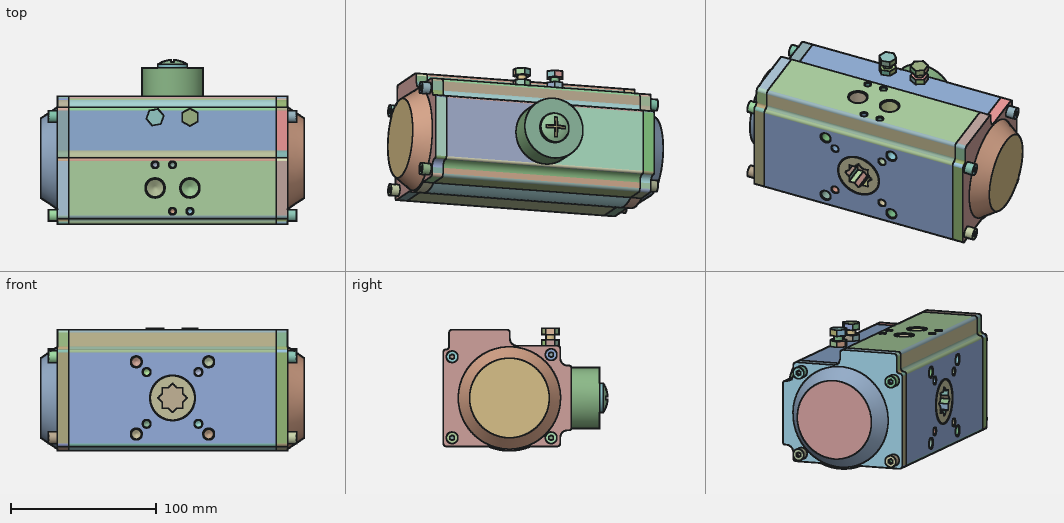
import cadquery as cq
import math


overall_length = 181.0
slab_length = 157.8
housing_length = 142.3
cap_thickness = (slab_length - housing_length) / 2
dome_height = (overall_length - slab_length) / 2

front_y = -45.5
shoulder_depth = 4.0
block_front_y = front_y + shoulder_depth
shoulder_radius = shoulder_depth / 2
shoulder_z = 33.3
block_back_y = 0.4
block_top_z = 46.9
deck_z = 35.8
back_y = 35.0
bottom_z = -33.3
pedestal_y = 42.5
pedestal_half_height = 22.3
corner_radius = 2.2
pedestal_corner_radius = 1.6
inner_radius = 4.9
bulge_radius = 36.4

point_tolerance = 1.81e-06

knob_radius = 21.0
knob_end_y = 61.9
button_radius = 10.1
button_rim_height = 2.4
button_dome_rise = 3.3
slot_width = 1.8
slot_depth = 1.5

ring_outer_radius = 15.5
ring_width = 0.4
ring_depth = 0.4
star_square = 14.1
star_depth = 14.5

bracket_large = (3.5, 4.0, 11.8)
bracket_small = (2.5, 2.9, 9.0)
bracket_large_offset = 24.8
bracket_small_offset = 17.7
port = (6.2, 6.9, 12.7)
port_screw = (2.0, 2.5, 9.0)
port_x = 12.0
port_y = -20.5
port_screw_offset_y = 16.0
drill_point_angle = 118.0

stop_x = 12.0
stop_y = 28.0
stop_hex_flats = 10.5
stop_stud_radius = 3.0
stop_nut_height = 4.0
stop_head_bottom_z = 43.5
stop_head_top_z = 47.8
left_stop_turn = 10.0
right_stop_turn = 30.0

dome_base_radius = 35.1
dome_tip_radius = 27.3
bolt_head_radius = 4.0
bolt_head_height = 6.2
bolt_socket_flats = 3.0
bolt_socket_depth = 2.7
bolt_socket_turn = 90.0
bolt_back_y = 28.6
bolt_front_y = -39.3
bolt_low_z = -27.3
bolt_back_high_z = 29.7
bolt_front_high_z = 28.2

section_corners = [
    (front_y, bottom_z, corner_radius),
    (front_y, shoulder_z, shoulder_radius),
    (block_front_y, shoulder_z, shoulder_radius),
    (block_front_y, block_top_z, corner_radius),
    (block_back_y, block_top_z, corner_radius),
    (block_back_y, deck_z, inner_radius),
    (back_y, deck_z, corner_radius),
    (back_y, pedestal_half_height, inner_radius),
    (pedestal_y, pedestal_half_height, pedestal_corner_radius),
    (pedestal_y, -pedestal_half_height, pedestal_corner_radius),
    (back_y, -pedestal_half_height, inner_radius),
    (back_y, bottom_z, corner_radius),
]


def rounded_outline(plane, corners):
    """Closed outline through right-angled corners, each rounded by its own tangent arc."""
    arcs = []
    for index, (y, z, radius) in enumerate(corners):
        corner = cq.Vector(y, z)
        to_before = (cq.Vector(*corners[index - 1][:2]) - corner).normalized()
        to_after = (cq.Vector(*corners[(index + 1) % len(corners)][:2]) - corner).normalized()
        start = corner + to_before * radius
        end = corner + to_after * radius
        middle = corner + (to_before + to_after) * (radius * (1 - math.sqrt(0.5)))
        arcs.append((start, middle, end))

    first_start = arcs[0][0]
    outline = plane.moveTo(first_start.x, first_start.y)
    position = first_start
    for start, middle, end in arcs:
        if (start - position).Length > point_tolerance:
            outline = outline.lineTo(start.x, start.y)
        outline = outline.threePointArc((middle.x, middle.y), (end.x, end.y))
        position = end
    return outline.close()


def section_slab(start_x, length):
    """Slice of the actuator cross-section, with the cylinder wall below it."""
    plane = cq.Workplane("YZ", origin=(start_x, 0, 0))
    slab = rounded_outline(plane, section_corners).extrude(length)
    bulge = (
        plane.moveTo(-bulge_radius, 0)
        .threePointArc((0, -bulge_radius), (bulge_radius, 0))
        .close()
        .extrude(length)
    )
    return slab.union(bulge)


def drilled_hole(size, mouth, direction):
    """Cutter for a blind hole with a 45 degree countersink and a drill point."""
    radius, sink_radius, depth = size
    mouth = cq.Vector(*mouth)
    direction = cq.Vector(*direction)
    point_height = radius / math.tan(math.radians(drill_point_angle / 2))
    bore = cq.Solid.makeCylinder(radius, depth, mouth, direction)
    tip = cq.Solid.makeCone(radius, 0, point_height, mouth + direction * depth, direction)
    sink = cq.Solid.makeCone(sink_radius, radius, sink_radius - radius, mouth, direction)
    return cq.Workplane(bore).union(cq.Workplane(tip)).union(cq.Workplane(sink))


def hexagon_prism(plane, across_flats, height, turn):
    """Hexagonal prism with one vertex at the given angle from the plane's x direction."""
    across_corners = across_flats / math.cos(math.pi / 6)
    return plane.transformed(rotate=(0, 0, turn)).polygon(6, across_corners).extrude(height)


def indicator():
    """Round knob with a domed, cross-slotted button on its end."""
    rim_y = knob_end_y + button_rim_height
    top_y = rim_y + button_dome_rise
    dome_radius = (button_radius**2 + button_dome_rise**2) / (2 * button_dome_rise)
    dome_mid_x = button_radius / 2
    dome_mid_y = top_y - dome_radius + math.sqrt(dome_radius**2 - dome_mid_x**2)
    body = (
        cq.Workplane("XY")
        .moveTo(0, back_y)
        .lineTo(knob_radius, back_y)
        .lineTo(knob_radius, knob_end_y)
        .lineTo(button_radius, knob_end_y)
        .lineTo(button_radius, rim_y)
        .threePointArc((dome_mid_x, dome_mid_y), (0, top_y))
        .close()
        .revolve(360, (0, 0, 0), (0, 1, 0))
    )
    slot_length = 2 * button_radius
    slots = cq.Workplane("XZ", origin=(0, top_y, 0)).rect(slot_length, slot_width).extrude(slot_depth)
    slots = slots.union(slots.rotate((0, 0, 0), (0, 1, 0), 90))
    return body.cut(slots)


def stop_screw(x, turn):
    """Hexagon screw standing on the deck with its lock nut below the head."""
    deck = cq.Workplane("XY", origin=(x, stop_y, deck_z))
    nut = hexagon_prism(deck, stop_hex_flats, stop_nut_height, turn)
    stud = deck.circle(stop_stud_radius).extrude(stop_head_bottom_z - deck_z)
    head_plane = cq.Workplane("XY", origin=(x, stop_y, stop_head_bottom_z))
    head = hexagon_prism(head_plane, stop_hex_flats, stop_head_top_z - stop_head_bottom_z, turn)
    return nut.union(stud).union(head)


def shaft_recess():
    """Cutter for the eight-pointed shaft socket and the ring groove around it."""
    face = cq.Workplane("XZ", origin=(0, front_y, 0))
    square = face.rect(star_square, star_square).extrude(-star_depth)
    turned_square = square.rotate((0, 0, 0), (0, 1, 0), 45)
    ring = face.circle(ring_outer_radius).circle(ring_outer_radius - ring_width).extrude(-ring_depth)
    return square.union(turned_square).union(ring)


def make_housing():
    housing = section_slab(-housing_length / 2, housing_length)
    housing = housing.union(indicator())
    for x, turn in ((-stop_x, left_stop_turn), (stop_x, right_stop_turn)):
        housing = housing.union(stop_screw(x, turn))
    housing = housing.cut(shaft_recess())

    for size, offset in ((bracket_large, bracket_large_offset), (bracket_small, bracket_small_offset)):
        for x in (-offset, offset):
            for z in (-offset, offset):
                housing = housing.cut(drilled_hole(size, (x, front_y, z), (0, 1, 0)))

    port_screw_places = [
        (-port_x, port_y + port_screw_offset_y),
        (0, port_y + port_screw_offset_y),
        (0, port_y - port_screw_offset_y),
        (port_x, port_y - port_screw_offset_y),
    ]
    for x in (-port_x, port_x):
        housing = housing.cut(drilled_hole(port, (x, port_y, block_top_z), (0, 0, -1)))
    for x, y in port_screw_places:
        housing = housing.cut(drilled_hole(port_screw, (x, y, block_top_z), (0, 0, -1)))
    return housing


def make_left_cap():
    outer_x = -slab_length / 2
    cap = section_slab(outer_x, cap_thickness)
    left = cq.Vector(-1, 0, 0)
    dome = cq.Solid.makeCone(dome_base_radius, dome_tip_radius, dome_height, cq.Vector(outer_x, 0, 0), left)
    cap = cap.union(cq.Workplane(dome))

    bolt_places = [
        (bolt_back_y, bolt_low_z),
        (bolt_back_y, bolt_back_high_z),
        (bolt_front_y, bolt_low_z),
        (bolt_front_y, bolt_front_high_z),
    ]
    head_end_x = outer_x - bolt_head_height
    for y, z in bolt_places:
        head_end = cq.Workplane("YZ", origin=(head_end_x, y, z))
        cap = cap.union(head_end.circle(bolt_head_radius).extrude(bolt_head_height))
        cap = cap.cut(hexagon_prism(head_end, bolt_socket_flats, bolt_socket_depth, bolt_socket_turn))
    return cap


housing = make_housing()
left_cap = make_left_cap()
right_cap = left_cap.mirror("YZ")

result = cq.Compound.makeCompound([housing.val(), left_cap.val(), right_cap.val()])